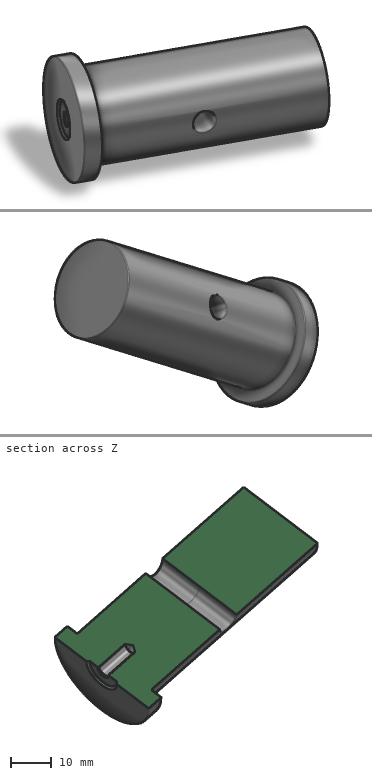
import cadquery as cq
import math

total_length = 65.0
head_diameter = 31.7
head_length = 4.7
shank_diameter = 25.0
edge_radius = 0.2

cross_hole_diameter = 6.0
cross_hole_rim_radius = 0.1

recess_mouth_diameter = 10.3
recess_floor_diameter = 9.1
recess_depth = 0.6
countersink_diameter = 3.9
centre_hole_diameter = 3.25
centre_hole_depth = 9.75
drill_point_angle = 118.0

head_face_y = -total_length / 2
shank_end_y = total_length / 2


def make_body():
    head = cq.Workplane("XZ", origin=(0, head_face_y, 0)).circle(head_diameter / 2).extrude(-head_length)
    head = head.edges().fillet(edge_radius)
    shank = cq.Workplane("XZ", origin=(0, shank_end_y, 0)).circle(shank_diameter / 2)
    shank = shank.extrude(total_length - head_length).faces(">Y").edges().fillet(edge_radius)
    return head.union(shank).union(make_shoulder_fillet())


def make_shoulder_fillet():
    """Concave ring blending the shank into the head shoulder."""
    shank_radius = shank_diameter / 2
    shoulder_y = head_face_y + head_length
    arc_offset = edge_radius * (1 - math.sqrt(0.5))
    outline = (
        cq.Workplane("XY")
        .moveTo(0, shoulder_y)
        .lineTo(shank_radius + edge_radius, shoulder_y)
        .threePointArc(
            (shank_radius + arc_offset, shoulder_y + arc_offset),
            (shank_radius, shoulder_y + edge_radius),
        )
        .lineTo(0, shoulder_y + edge_radius)
        .close()
    )
    return outline.revolve(360, (0, 0, 0), (0, 1, 0))


def make_face_cavity():
    hole_radius = centre_hole_diameter / 2
    countersink_radius = countersink_diameter / 2
    countersink_depth = countersink_radius - hole_radius
    point_length = hole_radius / math.tan(math.radians(drill_point_angle / 2))
    recess_floor_y = head_face_y + recess_depth
    hole_bottom_y = recess_floor_y + centre_hole_depth
    outline = cq.Workplane("XY").polyline([
        (0, head_face_y),
        (recess_mouth_diameter / 2, head_face_y),
        (recess_floor_diameter / 2, recess_floor_y),
        (countersink_radius, recess_floor_y),
        (hole_radius, recess_floor_y + countersink_depth),
        (hole_radius, hole_bottom_y),
        (0, hole_bottom_y + point_length),
    ]).close()
    return outline.revolve(360, (0, 0, 0), (0, 1, 0))


def cut_cross_hole(body):
    """Drill through along X and round both rims where the bore meets the shank."""
    hole = cq.Workplane("YZ").circle(cross_hole_diameter / 2).extrude(head_diameter / 2, both=True)
    half_width = shank_diameter / 2
    half_height = cross_hole_diameter / 2
    around_hole = cq.selectors.BoxSelector(
        (-half_width, -half_height, -half_height),
        (half_width, half_height, half_height),
    )
    return body.cut(hole).edges(around_hole).edges("not %LINE").fillet(cross_hole_rim_radius)


result = cut_cross_hole(make_body()).cut(make_face_cavity())